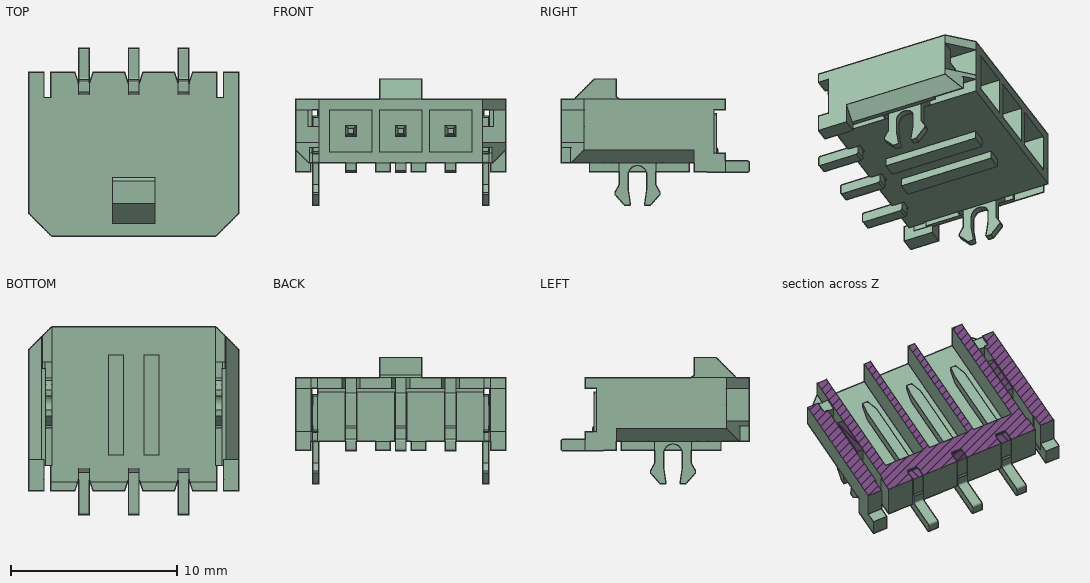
import cadquery as cq


LENGTH = 12.65
HALF_LENGTH = LENGTH / 2
HEIGHT = 3.83
PLATE_REAR = 9.89
SIDE_REAR = 9.22
WALL_REAR = 9.36
WALL_TOP = 2.97
CORNER_CUT = 1.39
BODY_HALF_WIDTH = HALF_LENGTH - CORNER_CUT
BOTTOM_CHAMFER = 0.78

CONTACT_COUNT = 3
PITCH = 3.0
CAVITY_SIZE = 2.55
CAVITY_DEPTH = 7.59
CAVITY_Z = HEIGHT / 2
PLATE_UNDERSIDE = CAVITY_Z + CAVITY_SIZE / 2

PIN_SIZE = 0.65
PIN_TIP_Y = 2.53
PIN_TIP_SIZE = 0.33
PIN_TIP_LENGTH = 0.89
POST_FRONT = 8.69
POST_REAR = 9.37
POST_TOP = 2.91
POST_FOOT_REAR = 9.45
POST_STEP_TOP = 0.91
POST_STEP_BOTTOM = 0.81
TAIL_END = 11.35
TAIL_TOP = 0.13
TAIL_BOTTOM = -0.58
TAIL_FILLET = 0.1
TAIL_CHAMFER = 0.11
TAIL_ROUND = 0.14
CHANNEL_FRONT = 8.58
CHANNEL_MOUTH = 1.09
BLADE_FILLET = POST_FRONT - CHANNEL_FRONT

LATCH_WIDTH = CAVITY_SIZE
LATCH_HEIGHT = 1.21
LATCH_REAR = 3.33
LATCH_CREST_FRONT = 2.0
LATCH_FRONT = LATCH_CREST_FRONT - LATCH_HEIGHT
LATCH_ROOT_LENGTH = 0.22
LATCH_ROOT_HEIGHT = 0.15

STANDOFF_DROP = 0.55
FOOT_INNER = 5.41
FOOT_FRONT = 8.01
FOOT_TOP = 0.58
RAIL_WIDTH = 0.89
RAIL_X = 1.06
RAIL_FRONT = 1.71
RAIL_REAR = 7.73

RECESS_FLOOR = 1.23
POCKET_OUTER = 5.59
POCKET_FLOOR = 2.19
NOTCH_OUTER = 5.5
NOTCH_TOP = 0.91
POCKET_REAR = 2.15
NOTCH_STEP_REAR = 2.53
PASSAGE_OUTER = 5.34
REAR_SLOT_FRONT = 8.37
REAR_SLOT_INNER = 5.01
REAR_SLOT_OUTER = 5.4

CLIP_THICKNESS = 0.37
CLIP_INNER = BODY_HALF_WIDTH
CLIP_OUTER = CLIP_INNER + CLIP_THICKNESS
CLIP_Y = 4.6
CLIP_TOP = 2.82
CLIP_TOP_CHAMFER = 0.09
PLATE_HALF = 1.29
BASE_HALF = 1.52
BASE_TOP = 0.6
BASE_BEVEL = 0.08
BASE_ROUND = 0.1
ROOT_FILLET = 0.11
LEG_HALF = 1.1
BARB_HALF = 1.37
TIP_OUTER_HALF = 0.77
TIP_INNER_HALF = 0.42
GAP_HALF = 0.56
ARCH_TOP = -0.16
BARB_START = -1.3
BARB_EDGE_TOP = -1.78
BARB_EDGE_BOTTOM = -1.9
GAP_TAPER_START = -1.57
CLIP_BOTTOM = -2.57
TIP_ROUND = 0.06


def box(x0, x1, y0, y1, z0, z1):
    """Box between two opposite corners."""
    return cq.Workplane("XY").box(x1 - x0, y1 - y0, z1 - z0, centered=False).translate((x0, y0, z0))


def on_both_sides(shape):
    """The shape together with its mirror image across X = 0."""
    return shape.union(shape.mirror("YZ"))


def contact_positions():
    return [(i - (CONTACT_COUNT - 1) / 2) * PITCH for i in range(CONTACT_COUNT)]


def make_shell():
    """Outer block with cut front corners, chamfered lower sides and a stepped rear."""
    shell = (
        cq.Workplane("XY")
        .moveTo(-BODY_HALF_WIDTH, 0)
        .lineTo(BODY_HALF_WIDTH, 0)
        .lineTo(HALF_LENGTH, CORNER_CUT)
        .lineTo(HALF_LENGTH, PLATE_REAR)
        .lineTo(-HALF_LENGTH, PLATE_REAR)
        .lineTo(-HALF_LENGTH, CORNER_CUT)
        .close()
        .extrude(HEIGHT)
    )
    under_plate = box(-HALF_LENGTH, HALF_LENGTH, SIDE_REAR, PLATE_REAR, 0, PLATE_UNDERSIDE)
    lower_edge = (
        cq.Workplane("XZ")
        .moveTo(HALF_LENGTH, 0)
        .lineTo(HALF_LENGTH, BOTTOM_CHAMFER)
        .lineTo(HALF_LENGTH - BOTTOM_CHAMFER, 0)
        .close()
        .extrude(-FOOT_FRONT)
    )
    middle_wall = box(-REAR_SLOT_INNER, REAR_SLOT_INNER, SIDE_REAR, WALL_REAR, 0, WALL_TOP)
    return shell.cut(under_plate).cut(on_both_sides(lower_edge)).union(middle_wall)


def make_feet():
    """Rear corner feet and the two rails under the middle."""
    foot = box(FOOT_INNER, HALF_LENGTH, FOOT_FRONT, PLATE_REAR, -STANDOFF_DROP, FOOT_TOP)
    rail = box(
        RAIL_X - RAIL_WIDTH / 2, RAIL_X + RAIL_WIDTH / 2,
        RAIL_FRONT, RAIL_REAR,
        -STANDOFF_DROP, 0,
    )
    return on_both_sides(foot).union(on_both_sides(rail))


def make_latch():
    """Ramped block on the top face."""
    crest = HEIGHT + LATCH_HEIGHT
    return (
        cq.Workplane("YZ")
        .moveTo(LATCH_FRONT, HEIGHT)
        .lineTo(LATCH_CREST_FRONT, crest)
        .lineTo(LATCH_REAR, crest)
        .lineTo(LATCH_REAR, HEIGHT + LATCH_ROOT_HEIGHT)
        .lineTo(LATCH_REAR + LATCH_ROOT_LENGTH, HEIGHT)
        .close()
        .extrude(LATCH_WIDTH / 2, both=True)
    )


def make_contact_opening(x):
    """Mating cavity, blade hole and flared rear channel for one contact."""
    half_cavity = CAVITY_SIZE / 2
    half_pin = PIN_SIZE / 2
    cavity = box(
        x - half_cavity, x + half_cavity, 0, CAVITY_DEPTH, CAVITY_Z - half_cavity, PLATE_UNDERSIDE
    )
    blade_hole = box(
        x - half_pin, x + half_pin, 0, PLATE_REAR, CAVITY_Z - half_pin, CAVITY_Z + half_pin
    )
    channel = (
        cq.Workplane("XY")
        .moveTo(x - half_pin, CHANNEL_FRONT)
        .lineTo(x + half_pin, CHANNEL_FRONT)
        .lineTo(x + half_pin, SIDE_REAR)
        .lineTo(x + CHANNEL_MOUTH / 2, PLATE_REAR)
        .lineTo(x - CHANNEL_MOUTH / 2, PLATE_REAR)
        .lineTo(x - half_pin, SIDE_REAR)
        .close()
        .extrude(HEIGHT)
    )
    return cavity.union(blade_hole).union(channel)


def make_corner_openings():
    """Front corner recesses and the passages running back from them past the clips."""
    recess = box(BODY_HALF_WIDTH, HALF_LENGTH, 0, CORNER_CUT, RECESS_FLOOR, PLATE_UNDERSIDE)
    pocket = box(BODY_HALF_WIDTH, POCKET_OUTER, 0, POCKET_REAR, POCKET_FLOOR, PLATE_UNDERSIDE)
    notch = box(BODY_HALF_WIDTH, NOTCH_OUTER, 0, POCKET_REAR, 0, NOTCH_TOP)
    notch_step = box(BODY_HALF_WIDTH, NOTCH_OUTER, 0, NOTCH_STEP_REAR, 0, BASE_TOP)
    upper_passage = box(
        CLIP_INNER, PASSAGE_OUTER, POCKET_REAR, REAR_SLOT_FRONT, BASE_TOP, PLATE_UNDERSIDE
    )
    lower_passage = box(
        CLIP_INNER, CLIP_OUTER, POCKET_REAR, REAR_SLOT_FRONT, 0, BASE_TOP
    )
    rear_slot = box(REAR_SLOT_INNER, REAR_SLOT_OUTER, REAR_SLOT_FRONT, PLATE_REAR, 0, HEIGHT)
    openings = recess.union(pocket).union(notch).union(notch_step)
    return on_both_sides(openings.union(upper_passage).union(lower_passage).union(rear_slot))


def make_housing():
    housing = make_shell().union(make_feet()).union(make_latch()).cut(make_corner_openings())
    for x in contact_positions():
        housing = housing.cut(make_contact_opening(x))
    return housing


def make_contact(x):
    """Square blade with a pyramid tip, a post behind it and a tail running rearward."""
    half_pin = PIN_SIZE / 2
    blade_top = CAVITY_Z + half_pin
    blade_bottom = CAVITY_Z - half_pin
    blade_start = PIN_TIP_Y + PIN_TIP_LENGTH
    body = (
        cq.Workplane("YZ")
        .moveTo(blade_start, blade_bottom)
        .lineTo(blade_start, blade_top)
        .lineTo(POST_FRONT - BLADE_FILLET, blade_top)
        .radiusArc((POST_FRONT, blade_top + BLADE_FILLET), -BLADE_FILLET)
        .lineTo(POST_FRONT, POST_TOP)
        .lineTo(POST_REAR - TAIL_ROUND, POST_TOP)
        .radiusArc((POST_REAR, POST_TOP - TAIL_ROUND), TAIL_ROUND)
        .lineTo(POST_REAR, POST_STEP_TOP)
        .lineTo(POST_FOOT_REAR, POST_STEP_BOTTOM)
        .lineTo(POST_FOOT_REAR, TAIL_TOP + TAIL_FILLET)
        .radiusArc((POST_FOOT_REAR + TAIL_FILLET, TAIL_TOP), -TAIL_FILLET)
        .lineTo(TAIL_END - TAIL_ROUND, TAIL_TOP)
        .radiusArc((TAIL_END, TAIL_TOP - TAIL_ROUND), TAIL_ROUND)
        .lineTo(TAIL_END, TAIL_BOTTOM + TAIL_ROUND)
        .radiusArc((TAIL_END - TAIL_ROUND, TAIL_BOTTOM), TAIL_ROUND)
        .lineTo(POST_FRONT + TAIL_CHAMFER, TAIL_BOTTOM)
        .lineTo(POST_FRONT, TAIL_BOTTOM + TAIL_CHAMFER)
        .lineTo(POST_FRONT, blade_bottom)
        .close()
        .extrude(half_pin, both=True)
    )
    tip = (
        cq.Workplane("XZ", origin=(0, blade_start, CAVITY_Z))
        .rect(PIN_SIZE, PIN_SIZE)
        .workplane(offset=PIN_TIP_LENGTH)
        .rect(PIN_TIP_SIZE, PIN_TIP_SIZE)
        .loft()
    )
    return body.union(tip).translate((x, 0, 0))


def make_clip(side):
    """Flat clip with a wide base in the housing and two barbed legs below it."""
    half_clip = (
        cq.Workplane("YZ")
        .moveTo(0, CLIP_TOP)
        .lineTo(PLATE_HALF - CLIP_TOP_CHAMFER, CLIP_TOP)
        .lineTo(PLATE_HALF, CLIP_TOP - CLIP_TOP_CHAMFER)
        .lineTo(PLATE_HALF, BASE_TOP + BASE_BEVEL)
        .lineTo(PLATE_HALF + BASE_BEVEL, BASE_TOP)
        .lineTo(BASE_HALF - BASE_BEVEL, BASE_TOP)
        .lineTo(BASE_HALF, BASE_TOP - BASE_BEVEL)
        .lineTo(BASE_HALF, BASE_ROUND)
        .radiusArc((BASE_HALF - BASE_ROUND, 0), BASE_ROUND)
        .lineTo(LEG_HALF + ROOT_FILLET, 0)
        .radiusArc((LEG_HALF, -ROOT_FILLET), -ROOT_FILLET)
        .lineTo(LEG_HALF, BARB_START)
        .lineTo(BARB_HALF, BARB_EDGE_TOP)
        .lineTo(BARB_HALF, BARB_EDGE_BOTTOM)
        .lineTo(TIP_OUTER_HALF, CLIP_BOTTOM)
        .lineTo(TIP_INNER_HALF + TIP_ROUND, CLIP_BOTTOM)
        .radiusArc((TIP_INNER_HALF, CLIP_BOTTOM + TIP_ROUND), TIP_ROUND)
        .lineTo(GAP_HALF, GAP_TAPER_START)
        .lineTo(GAP_HALF, ARCH_TOP - GAP_HALF)
        .radiusArc((0, ARCH_TOP), -GAP_HALF)
        .close()
        .extrude(CLIP_THICKNESS)
    )
    clip = half_clip.union(half_clip.mirror("XZ")).translate((CLIP_INNER, CLIP_Y, 0))
    return clip if side > 0 else clip.mirror("YZ")


housing = make_housing()
contacts = [make_contact(x) for x in contact_positions()]
clips = [make_clip(side) for side in (-1, 1)]

bodies = [housing] + contacts + clips

result = cq.Compound.makeCompound([body.solids().val() for body in bodies])